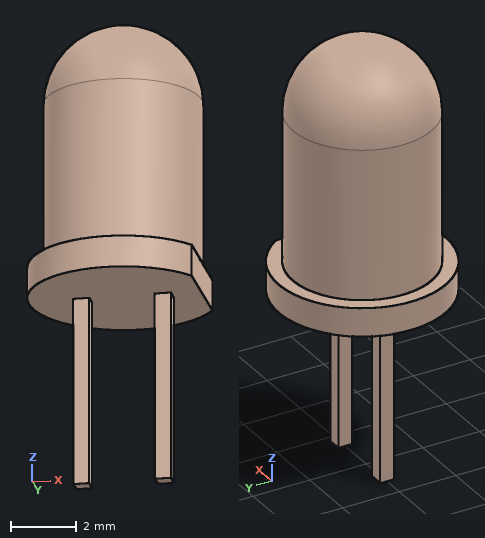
import cadquery as cq

total_height = 14.7
lens_diameter = 4.9
flange_diameter = 5.9
flange_height = 1.0
lead_length = 6.0
lead_width = 0.5
lead_pitch = 2.55

lens_radius = lens_diameter / 2
flat_x = lens_radius
lens_height = total_height - lead_length - flange_height
wall_height = lens_height - lens_radius


def make_flange():
    """Round collar with one flat on its +X side."""
    disc = cq.Workplane("XY").circle(flange_diameter / 2).extrude(flange_height)
    keep_length = flange_diameter / 2 + flat_x
    keep = cq.Workplane("XY").box(
        keep_length, flange_diameter, flange_height, centered=(False, True, False)
    )
    return disc.intersect(keep.translate((-flange_diameter / 2, 0, 0)))


def make_lens():
    """Cylinder with a hemispherical dome, standing on the flange."""
    dome_mid = lens_radius * 0.5**0.5
    profile = (
        cq.Workplane("XZ")
        .lineTo(lens_radius, 0)
        .lineTo(lens_radius, wall_height)
        .threePointArc((dome_mid, wall_height + dome_mid), (0, lens_height))
        .close()
    )
    lens = profile.revolve(360, (0, 0, 0), (0, 1, 0))
    return lens.translate((0, 0, flange_height))


def make_lead(x):
    """Square lead hanging from the underside of the flange."""
    return cq.Workplane("XY").center(x, 0).rect(lead_width, lead_width).extrude(-lead_length)


flange = make_flange()
lens = make_lens()
leads = [make_lead(side * lead_pitch / 2) for side in (-1, 1)]

result = cq.Compound.makeCompound([flange.val(), lens.val(), *[lead.val() for lead in leads]])